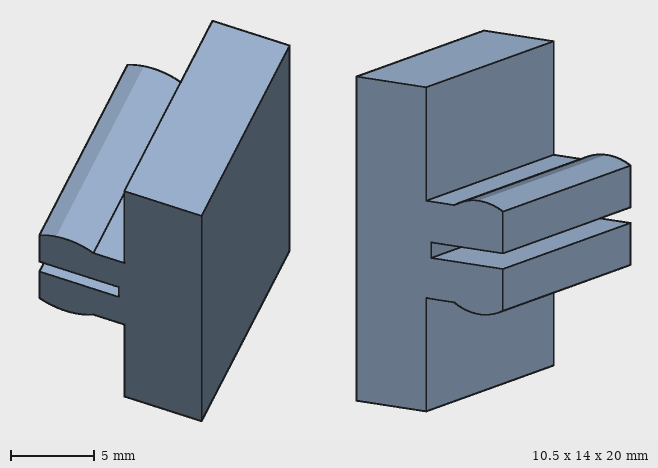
import cadquery as cq

height = 20.0
width = 14.0
depth = 10.5

plate_thickness = 5.0
stem_half_height = 3.0
bulge_half_height = 3.5
bulge_length = 3.5
bulge_peak_offset = 1.7
tip_half_height = 3.05
slot_height = 0.95
slot_depth = 5.15

tip_x = -depth / 2
plate_x = depth / 2 - plate_thickness
bulge_end_x = tip_x + bulge_length
bulge_peak_x = tip_x + bulge_peak_offset


def make_plate():
    return cq.Workplane("XY").box(plate_thickness, width, height).translate(
        (plate_x + plate_thickness / 2, 0, 0)
    )


def make_tongue():
    """Tongue profile with a shallow arched bulge above and below its tip."""
    return (
        cq.Workplane("XZ")
        .moveTo(plate_x, stem_half_height)
        .lineTo(bulge_end_x, stem_half_height)
        .threePointArc((bulge_peak_x, bulge_half_height), (tip_x, tip_half_height))
        .lineTo(tip_x, -tip_half_height)
        .threePointArc((bulge_peak_x, -bulge_half_height), (bulge_end_x, -stem_half_height))
        .lineTo(plate_x, -stem_half_height)
        .close()
        .extrude(width / 2, both=True)
    )


def make_slot():
    """Full-width slot that splits the tongue into two prongs."""
    return cq.Workplane("XY").box(slot_depth, width, slot_height).translate(
        (tip_x + slot_depth / 2, 0, 0)
    )


result = make_plate().union(make_tongue()).cut(make_slot())